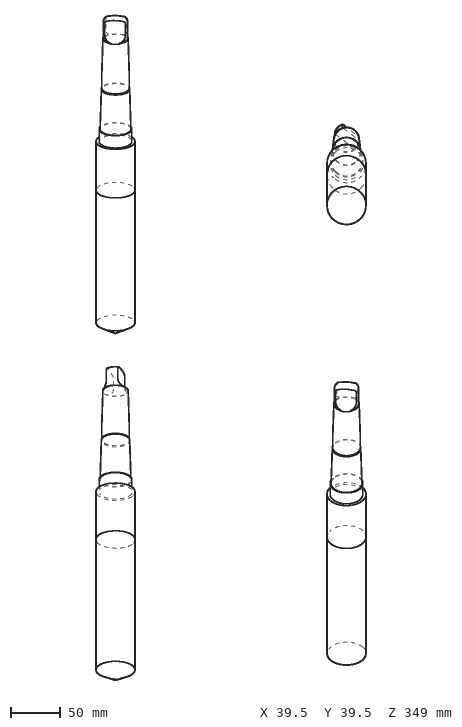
import cadquery as cq
import math

TOTAL_LENGTH = 349.0
BODY_RADIUS = 39.5 / 2

POINT_ANGLE = 118.0
POINT_HEIGHT = BODY_RADIUS / math.tan(math.radians(POINT_ANGLE / 2))
JOINT_Z = 158.5

NECK_TOP_Z = 212.2
COLLAR_RADIUS = 33.0 / 2
COLLAR_TOP_Z = 225.8
TAPER_TOP_Z = 325.5
TAPER_BASE_RADIUS = 15.7
TAPER_TOP_RADIUS = 13.0

RELIEF_RADIUS = 28.0 / 2
RELIEF_BOTTOM_Z = 269.8
RELIEF_TOP_Z = 286.5
RELIEF_END_HEIGHT = 1.0

TANG_RADIUS = 12.2
TANG_THICKNESS = 12.5
TANG_ANGLE = 19.0
TANG_EDGE_RADIUS = 2.5
TANG_DOME_HEIGHT = 1.5
FLAT_BOTTOM_Z = 333.0
FLAT_RUNOUT_RADIUS = 8.0


def taper_radius(z):
    """Radius of the taper at height z."""
    fraction = (z - COLLAR_TOP_Z) / (TAPER_TOP_Z - COLLAR_TOP_Z)
    return TAPER_BASE_RADIUS + fraction * (TAPER_TOP_RADIUS - TAPER_BASE_RADIUS)


def make_cutting_body():
    """Cylinder with a conical point at its lower end."""
    return (
        cq.Workplane("XZ")
        .polyline([(0, 0), (BODY_RADIUS, POINT_HEIGHT), (BODY_RADIUS, JOINT_Z), (0, JOINT_Z)])
        .close()
        .revolve(360, (0, 0), (0, 1))
    )


def make_shank_blank():
    """Turned shank: neck, collar, relieved taper and a round tang with a domed end."""
    tang_edge_z = TOTAL_LENGTH - TANG_DOME_HEIGHT
    dome_edge_radius = TANG_RADIUS - TANG_EDGE_RADIUS
    edge_mid_offset = TANG_EDGE_RADIUS * math.sin(math.radians(45))
    edge_mid = (
        dome_edge_radius + edge_mid_offset,
        tang_edge_z - TANG_EDGE_RADIUS + edge_mid_offset,
    )
    dome_radius = (dome_edge_radius**2 + TANG_DOME_HEIGHT**2) / (2 * TANG_DOME_HEIGHT)
    dome_mid_x = dome_edge_radius / 2
    dome_mid = (
        dome_mid_x,
        TOTAL_LENGTH - dome_radius + math.sqrt(dome_radius**2 - dome_mid_x**2),
    )
    return (
        cq.Workplane("XZ")
        .moveTo(0, JOINT_Z)
        .lineTo(BODY_RADIUS, JOINT_Z)
        .lineTo(BODY_RADIUS, NECK_TOP_Z)
        .lineTo(COLLAR_RADIUS, NECK_TOP_Z)
        .lineTo(COLLAR_RADIUS, COLLAR_TOP_Z)
        .lineTo(TAPER_BASE_RADIUS, COLLAR_TOP_Z)
        .lineTo(taper_radius(RELIEF_BOTTOM_Z), RELIEF_BOTTOM_Z)
        .lineTo(RELIEF_RADIUS, RELIEF_BOTTOM_Z + RELIEF_END_HEIGHT)
        .lineTo(RELIEF_RADIUS, RELIEF_TOP_Z - RELIEF_END_HEIGHT)
        .lineTo(taper_radius(RELIEF_TOP_Z), RELIEF_TOP_Z)
        .lineTo(TAPER_TOP_RADIUS, TAPER_TOP_Z)
        .lineTo(TANG_RADIUS, TAPER_TOP_Z)
        .lineTo(TANG_RADIUS, tang_edge_z - TANG_EDGE_RADIUS)
        .threePointArc(edge_mid, (dome_edge_radius, tang_edge_z))
        .threePointArc(dome_mid, (0, TOTAL_LENGTH))
        .close()
        .revolve(360, (0, 0), (0, 1))
    )


def make_flat_cutter():
    """Tool that mills one flat of the tang, with a rounded run-out at its lower end."""
    flat_y = TANG_THICKNESS / 2
    outer_y = flat_y + FLAT_RUNOUT_RADIUS
    runout_z = FLAT_BOTTOM_Z - FLAT_RUNOUT_RADIUS
    mid_offset = FLAT_RUNOUT_RADIUS * math.sin(math.radians(45))
    return (
        cq.Workplane("YZ")
        .moveTo(flat_y, TOTAL_LENGTH)
        .lineTo(flat_y, FLAT_BOTTOM_Z)
        .threePointArc((outer_y - mid_offset, FLAT_BOTTOM_Z - mid_offset), (outer_y, runout_z))
        .lineTo(outer_y, TOTAL_LENGTH)
        .close()
        .extrude(BODY_RADIUS, both=True)
    )


def make_shank():
    """Shank blank with two opposite flats milled on the tang."""
    shank = make_shank_blank()
    for half_turn in (0, 180):
        cutter = make_flat_cutter().rotate((0, 0, 0), (0, 0, 1), TANG_ANGLE + half_turn)
        shank = shank.cut(cutter)
    return shank


cutting_body = make_cutting_body()
shank = make_shank()

result = cq.Compound.makeCompound([cutting_body.val(), shank.val()])